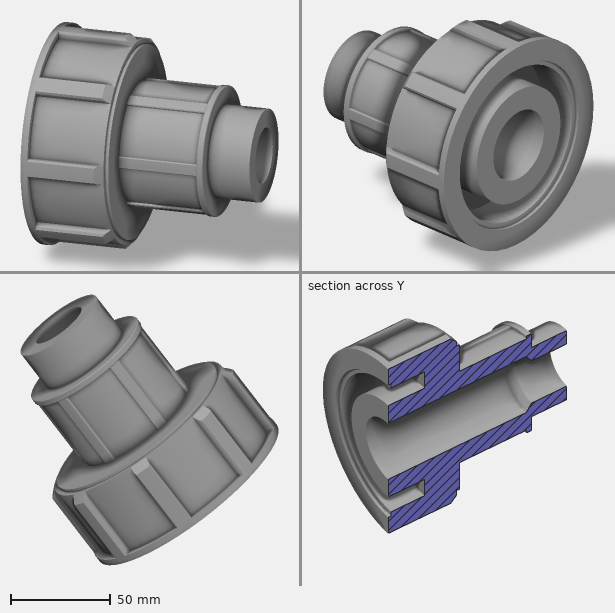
import cadquery as cq


rim_end = 3.6
nut_end = 42.7
nut_ring_end = 44.4
collar_start = 85.7
collar_end = 89.0
total_length = 111.0

nut_diameter = 113
nut_body_diameter = 104.9
nut_ring_diameter = 99.4
barrel_diameter = 63.0
collar_diameter = 66.9
spigot_diameter = 47.8
collar_chamfer = 0.3

mouth_diameter = 90.4
mouth_depth = 1.8
recess_diameter = 84.8
recess_depth = 22.6

wide_bore_diameter = 38.2
narrow_bore_diameter = 28.7
cone_start = collar_start
cone_end = collar_end

grip_count = 8
grip_width = 9.4
grip_edge_width = 0.8
grip_edge_height = 1.5
grip_chamfer = 3.8

barrel_rib_count = 6
barrel_rib_diameter = 65.8
barrel_rib_width = 6.3
barrel_rib_bevel = 0.6


def disc(start, end, diameter):
    """Solid cylinder on the X axis between two stations."""
    return cq.Workplane("YZ", origin=(start, 0, 0)).circle(diameter / 2).extrude(end - start)


def rib_ring(start, end, diameter, width, bevel_width, bevel_height, count):
    """Evenly spaced radial ribs with bevelled long edges and a round top, the first along +Y."""
    radius = diameter / 2
    root = spigot_diameter / 2
    half = width / 2
    shoulder = radius - bevel_height
    profile = [
        (root, -half),
        (shoulder, -half),
        (radius, bevel_width - half),
        (radius, half - bevel_width),
        (shoulder, half),
        (root, half),
    ]
    rib = cq.Workplane("YZ", origin=(start, 0, 0)).polyline(profile).close().extrude(end - start)
    ribs = cq.Workplane("YZ")
    for index in range(count):
        ribs = ribs.add(rib.rotate((0, 0, 0), (1, 0, 0), index * 360 / count))
    return ribs.combine().intersect(disc(start, end, diameter))


def make_nut():
    grips = rib_ring(
        0, nut_end, nut_diameter, grip_width, grip_edge_width, grip_edge_height, grip_count
    )
    envelope = disc(0, nut_end, nut_diameter).faces(">X").chamfer(grip_chamfer)
    body = disc(0, nut_end, nut_body_diameter).union(grips.intersect(envelope))
    return body.union(disc(0, rim_end, nut_diameter)).union(disc(0, nut_ring_end, nut_ring_diameter))


def make_barrel():
    ribs = rib_ring(
        nut_end, collar_start, barrel_rib_diameter, barrel_rib_width,
        barrel_rib_bevel, barrel_rib_bevel, barrel_rib_count,
    )
    collar = disc(collar_start, collar_end, collar_diameter).edges().chamfer(collar_chamfer)
    barrel = disc(0, collar_end, barrel_diameter).union(ribs).union(collar)
    return barrel.union(disc(0, total_length, spigot_diameter))


def make_recess():
    """Ring-shaped pocket that leaves the barrel standing as a hub inside the nut."""
    pocket = disc(0, recess_depth, recess_diameter).union(disc(0, mouth_depth, mouth_diameter))
    return pocket.cut(disc(0, recess_depth, barrel_diameter))


def make_bore():
    wide = wide_bore_diameter / 2
    narrow = narrow_bore_diameter / 2
    profile = [
        (0, 0),
        (0, wide),
        (cone_start, wide),
        (cone_end, narrow),
        (total_length, narrow),
        (total_length, 0),
    ]
    return cq.Workplane("XY").polyline(profile).close().revolve(360, (0, 0, 0), (1, 0, 0))


result = make_nut().union(make_barrel()).cut(make_recess()).cut(make_bore())